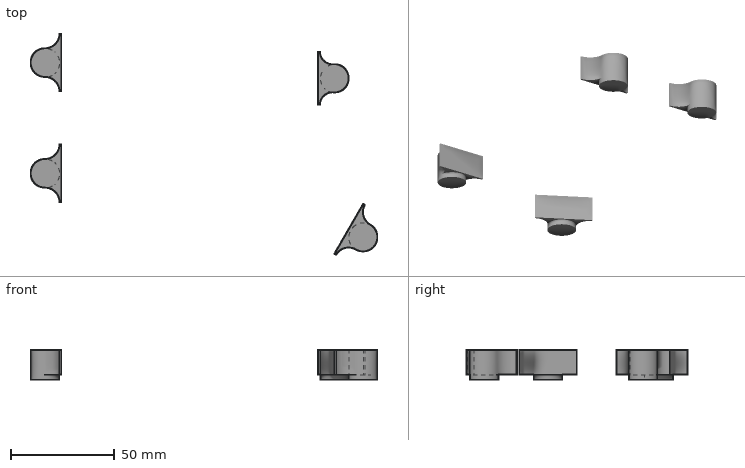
import cadquery as cq
import math

clip_height = 14.5
pin_height = 2.5
back_offset = 8.0
rim_thickness = 1.0

pin_diameter = 14.0
flare_radius = 7.0
small_pin_diameter = 13.8
small_flare_radius = 6.0

left_clip_count = 2
left_clip_spacing = 53.64
small_clip_centre = (140.3, -7.6)
angled_clip_centre = (154.14, -84.556)

left_clip_direction = 180.0
small_clip_direction = 0.0
angled_clip_direction = -30.0


def make_profile(lobe_radius, flare):
    """Outline of a clip: a round lobe whose sides flare out to a thin rim along the flat back."""
    back_x = -back_offset
    rim_x = back_x + rim_thickness

    flare_centre_x = rim_x + flare
    centre_distance = lobe_radius + flare
    half_length = math.sqrt(centre_distance**2 - flare_centre_x**2)

    touch_x = flare_centre_x * lobe_radius / centre_distance
    touch_y = half_length * lobe_radius / centre_distance

    touch_angle = math.atan2(half_length, flare_centre_x)
    middle_angle = touch_angle / 2
    flare_mid_x = flare_centre_x - flare * math.cos(middle_angle)
    flare_mid_y = half_length - flare * math.sin(middle_angle)

    return (
        cq.Workplane("XY")
        .workplane(offset=pin_height)
        .moveTo(back_x, -half_length)
        .lineTo(rim_x, -half_length)
        .threePointArc((flare_mid_x, -flare_mid_y), (touch_x, -touch_y))
        .threePointArc((lobe_radius, 0), (touch_x, touch_y))
        .threePointArc((flare_mid_x, flare_mid_y), (rim_x, half_length))
        .lineTo(back_x, half_length)
        .close()
    )


def make_clip(diameter, flare, centre, direction):
    """A clip body standing on a short round pin, turned and moved into place."""
    radius = diameter / 2
    body = make_profile(radius, flare).extrude(clip_height - pin_height)
    pin = cq.Workplane("XY").circle(radius).extrude(pin_height)
    clip = body.union(pin)
    turned_clip = clip.rotate((0, 0, 0), (0, 0, 1), direction)
    return turned_clip.translate((*centre, 0))


left_clips = []
for index in range(left_clip_count):
    left_centre = (0, -index * left_clip_spacing)
    left_clips.append(make_clip(pin_diameter, flare_radius, left_centre, left_clip_direction))

small_clip = make_clip(small_pin_diameter, small_flare_radius, small_clip_centre, small_clip_direction)
angled_clip = make_clip(pin_diameter, flare_radius, angled_clip_centre, angled_clip_direction)

left_solids = [clip.val() for clip in left_clips]
result = cq.Compound.makeCompound([*left_solids, small_clip.val(), angled_clip.val()])